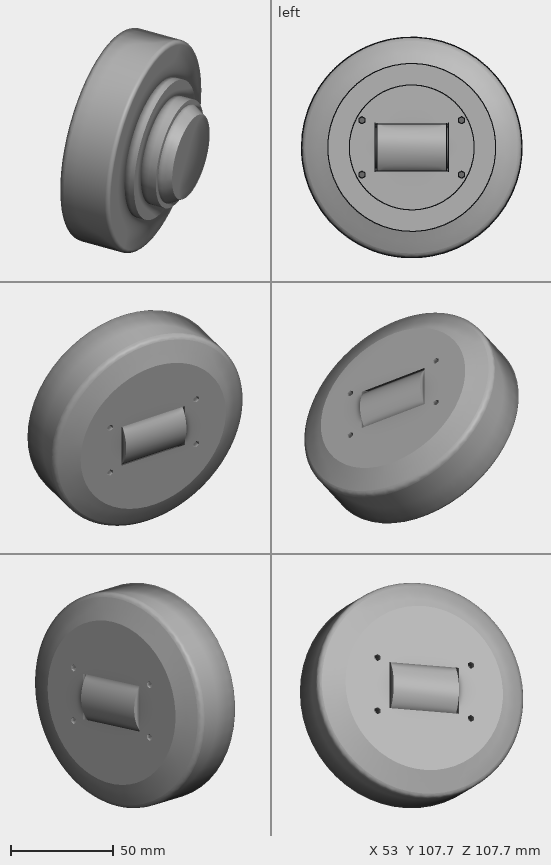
import cadquery as cq
import math


roller_protrusion = 3.0
ring_width = 31.0
flange_width = 5.0
shank_width = 8.0
overall_length = 53.0
face_x = roller_protrusion
ring_back_x = face_x + ring_width
flange_back_x = ring_back_x + flange_width
shank_back_x = flange_back_x + shank_width

ring_radius = 107.7 / 2
ring_face_radius = 41.0
bevel_angle = math.radians(20)
bevel_length = (ring_radius - ring_face_radius) * math.tan(bevel_angle)
front_fillet = 3.0
back_fillet = 2.0

head_radius = 30.5
shank_radius = 27.5
taper_start_radius = 25.0
taper_angle = math.radians(30)
taper_end_radius = taper_start_radius - (overall_length - shank_back_x) * math.tan(taper_angle)

side_ring_radius = 35.5

roller_radius = 17.5
roller_length = 34.0
roller_clearance = 1.0
trunnion_radius = 10.0
cavity_radius = roller_radius + roller_clearance
cavity_length = roller_length + 2 * roller_clearance
roller_axis_x = roller_radius

socket_across_flats = 3.0
socket_across_corners = socket_across_flats / math.cos(math.radians(30))
socket_depth = 6.0
socket_spacing_y = 48.6
socket_spacing_z = 26.6


def axial_disc(radius, start_x, end_x):
    """Solid cylinder on the main axis between two X positions."""
    return cq.Workplane("YZ", origin=(start_x, 0, 0)).circle(radius).extrude(end_x - start_x)


def cross_cylinder(radius, length):
    """Cylinder along Y, centred on the axis of the axial roller."""
    return (
        cq.Workplane("XZ", origin=(roller_axis_x, length / 2, 0))
        .circle(radius)
        .extrude(length)
    )


def make_outer_ring():
    """Ring with a bevelled front and rounded rims, bored to take the pin head."""
    bevel_end_x = face_x + bevel_length
    ring = (
        cq.Workplane("XY")
        .moveTo(face_x, head_radius)
        .lineTo(face_x, ring_face_radius)
        .lineTo(bevel_end_x, ring_radius)
        .lineTo(ring_back_x, ring_radius)
        .lineTo(ring_back_x, head_radius)
        .close()
        .revolve(360, (0, 0, 0), (1, 0, 0))
    )
    outer_rim = cq.selectors.RadiusNthSelector(-1)
    ring = ring.faces(">X").edges(outer_rim).fillet(back_fillet)
    front_rim = ring.edges(outer_rim).edges("<X")
    return front_rim.fillet(front_fillet)


def make_pin():
    """Pin with a roller cavity and four blind hexagonal sockets in its head."""
    profile = (
        cq.Workplane("XY")
        .moveTo(face_x, 0)
        .lineTo(face_x, head_radius)
        .lineTo(ring_back_x, head_radius)
        .lineTo(ring_back_x, shank_radius)
        .lineTo(shank_back_x, shank_radius)
        .lineTo(shank_back_x, taper_start_radius)
        .lineTo(overall_length, taper_end_radius)
        .lineTo(overall_length, 0)
        .close()
    )
    body = profile.revolve(360, (0, 0, 0), (1, 0, 0))
    hexagon = cq.Sketch().regularPolygon(socket_across_corners / 2, 6)
    sockets = (
        cq.Workplane("YZ", origin=(face_x, 0, 0))
        .rarray(socket_spacing_y, socket_spacing_z, 2, 2)
        .placeSketch(hexagon)
        .extrude(socket_depth)
    )
    return body.cut(cross_cylinder(cavity_radius, cavity_length)).cut(sockets)


def make_side_ring():
    """Plain ring behind the outer ring, fitted on the pin shank."""
    blank = axial_disc(side_ring_radius, ring_back_x, flange_back_x)
    return blank.cut(axial_disc(shank_radius, ring_back_x, flange_back_x))


def make_axial_roller():
    """Roller whose short trunnions rest against the ends of the cavity."""
    body = cross_cylinder(roller_radius, roller_length)
    trunnions = cross_cylinder(trunnion_radius, cavity_length)
    return body.union(trunnions)


outer_ring = make_outer_ring()
pin = make_pin()
side_ring = make_side_ring()
axial_roller = make_axial_roller()

result = cq.Compound.makeCompound([outer_ring.val(), pin.val(), side_ring.val(), axial_roller.val()])